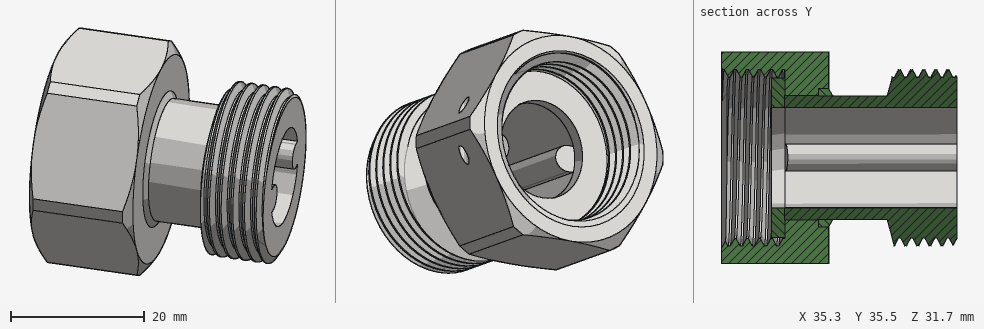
import cadquery as cq
import math


total_length = 35.3

thread_pitch = 1.814
thread_major_radius = 26.441 / 2
thread_minor_radius = 24.117 / 2
thread_half_angle = math.radians(27.5)
crest_overrun = 0.12

nut_length = 16.1
nut_across_flats = 31.7
nut_corner_radius = 35.5 / 2
nut_chamfer_angle = math.radians(30)
nut_mouth_radius = 13.5
wire_hole_diameter = 1.5
wire_hole_x = 5.0
wire_hole_y = 16.05
internal_groove_start = -2.46
internal_groove_turns = 7

bore_radius = 7.5
gasket_front = 7.5
gasket_thickness = 2.0
gasket_back = gasket_front + gasket_thickness
gasket_clearance = 0.05
gasket_radius = thread_minor_radius - gasket_clearance

neck_radius = 9.3
collar_start = 24.8
collar_back_angle = math.radians(15)
collar_end_angle = math.radians(30)
external_groove_start = 23.06
external_groove_turns = 8
key_width = 4.05
key_tip_radius = 4.3
key_face_angle = math.radians(8)

ring_protrusion = 0.6
ring_depth = 1.5
ring_cone_angle = math.radians(30)
ring_radius = neck_radius + ring_protrusion / math.tan(ring_cone_angle)


def revolve_about_x(points):
    """Solid of revolution from (x, radius) points."""
    return cq.Workplane("XY").polyline(points).close().revolve(360, (0, 0, 0), (1, 0, 0))


def rod(start, end, radius):
    """Cylinder on the X axis."""
    return cq.Workplane("YZ", origin=(start, 0, 0)).circle(radius).extrude(end - start)


def cut_thread(body, start, turns, root_radius, crest_radius):
    """Cut a right-hand helical groove along X, turn by turn, starting on the -Z side at x = start."""
    outward = math.copysign(1, crest_radius - root_radius)
    depth = abs(crest_radius - root_radius)
    flank_run = depth * math.tan(thread_half_angle)
    root_half = (thread_pitch / 2 - flank_run) / 2
    mouth_half = root_half + (depth + crest_overrun) * math.tan(thread_half_angle)
    mouth_radius = crest_radius + outward * crest_overrun
    path = cq.Wire.makeHelix(thread_pitch, thread_pitch, root_radius)
    profile = cq.Workplane("XZ").polyline(
        [
            (root_radius, -root_half),
            (mouth_radius, -mouth_half),
            (mouth_radius, mouth_half),
            (root_radius, root_half),
        ]
    )
    cutter = profile.close().sweep(cq.Workplane(obj=path), isFrenet=True)
    cutter = cutter.rotate((0, 0, 0), (0, 1, 0), 90)
    for turn in range(turns):
        body = body.cut(cutter.translate((start + turn * thread_pitch, 0, 0)))
    return body


def make_ring():
    """Retaining ring around the neck, its conical end standing out of the back of the nut."""
    ring_front = nut_length - ring_depth
    return revolve_about_x(
        [
            (ring_front, neck_radius),
            (ring_front, ring_radius),
            (nut_length, ring_radius),
            (nut_length + ring_protrusion, neck_radius),
        ]
    )


def make_gasket():
    """Flat sealing washer."""
    return rod(gasket_front, gasket_back, gasket_radius).cut(rod(gasket_front, gasket_back, bore_radius))


def make_nut():
    """Hexagon union nut."""
    across_corners = nut_across_flats / math.cos(math.pi / 6)
    nut = cq.Workplane("YZ").polygon(6, across_corners).extrude(nut_length)

    flat_radius = nut_across_flats / 2
    chamfer_length = (nut_corner_radius - flat_radius) * math.tan(nut_chamfer_angle)
    nut = nut.intersect(
        revolve_about_x(
            [
                (0, 0),
                (0, flat_radius),
                (chamfer_length, nut_corner_radius),
                (nut_length - chamfer_length, nut_corner_radius),
                (nut_length, flat_radius),
                (nut_length, 0),
            ]
        )
    )

    mouth_depth = (nut_mouth_radius - thread_minor_radius) * math.tan(nut_chamfer_angle)
    nut = nut.cut(rod(0, nut_length, thread_minor_radius))
    nut = nut.cut(
        revolve_about_x(
            [
                (0, 0),
                (0, nut_mouth_radius),
                (mouth_depth, thread_minor_radius),
                (mouth_depth, 0),
            ]
        )
    )
    nut = cut_thread(
        nut, internal_groove_start, internal_groove_turns, thread_major_radius, thread_minor_radius
    )

    shoulder = rod(gasket_back, nut_length, nut_mouth_radius)
    nut = nut.union(shoulder.cut(rod(gasket_back, nut_length, neck_radius)))

    hole = (
        cq.Workplane("XY")
        .center(wire_hole_x, wire_hole_y)
        .circle(wire_hole_diameter / 2)
        .extrude(nut_across_flats / 2, both=True)
    )
    return nut.cut(hole).cut(make_ring())


def make_keys():
    """Two round-tipped keys along the bore wall, their front faces on one cone."""
    root_radius = (bore_radius + neck_radius) / 2
    slot_length = root_radius + key_width / 2 - key_tip_radius
    slot_centre = key_tip_radius + slot_length / 2
    keys = (
        cq.Workplane("YZ", origin=(gasket_back, 0, 0))
        .pushPoints([(-slot_centre, 0), (slot_centre, 0)])
        .slot2D(slot_length, key_width)
        .extrude(total_length - gasket_back)
    )
    face_cone = revolve_about_x(
        [
            (gasket_back, 0),
            (gasket_back, bore_radius),
            (gasket_back + bore_radius * math.tan(key_face_angle), 0),
        ]
    )
    return keys.intersect(rod(gasket_back, total_length, root_radius)).cut(face_cone)


def make_tailpiece():
    """Bored neck with a threaded collar at its far end and keys in its bore."""
    collar_back = (thread_major_radius - neck_radius) * math.tan(collar_back_angle)
    collar_end = (thread_major_radius - thread_minor_radius) * math.tan(collar_end_angle)
    tailpiece = revolve_about_x(
        [
            (gasket_back, bore_radius),
            (gasket_back, neck_radius),
            (collar_start, neck_radius),
            (collar_start + collar_back, thread_major_radius),
            (total_length - collar_end, thread_major_radius),
            (total_length, thread_minor_radius),
            (total_length, bore_radius),
        ]
    )
    tailpiece = cut_thread(
        tailpiece, external_groove_start, external_groove_turns, thread_minor_radius, thread_major_radius
    )
    return tailpiece.union(make_keys())


nut = make_nut()
gasket = make_gasket()
tailpiece = make_tailpiece()
ring = make_ring()

result = cq.Compound.makeCompound(
    [
        nut.solids().val(),
        gasket.solids().val(),
        tailpiece.solids().val(),
        ring.solids().val(),
    ]
)